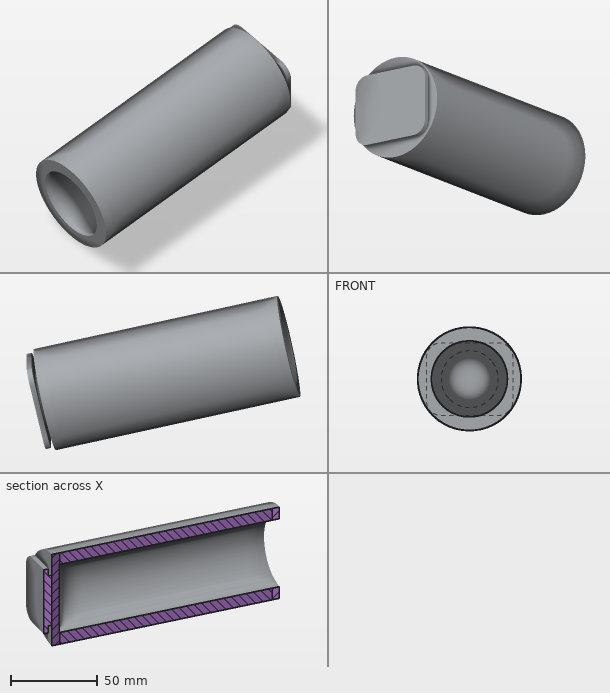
import cadquery as cq

total_length = 150.0
outer_diameter = 60.0
bore_diameter = 44.1

cap_thickness = 5.0
neck_diameter = 33.0
neck_length = 2.1
plate_width = 50.0
plate_height = 42.0
plate_thickness = 3.0
plate_corner_radius = 8.2

tube_start = cap_thickness
cap_end = total_length - plate_thickness - neck_length
cap_start = cap_end - cap_thickness
tube_length = cap_start - tube_start


def disc(diameter, start, length):
    """Solid cylinder along +Y, beginning at Y = start."""
    plane = cq.Workplane("XZ", origin=(0, start, 0))
    return plane.circle(diameter / 2).extrude(-length)


def sleeve(start, length):
    """Hollow cylinder with the common outer and bore diameters."""
    return disc(outer_diameter, start, length).cut(disc(bore_diameter, start, length))


def make_mount():
    """Round neck carrying a plate with rounded corners."""
    neck = disc(neck_diameter, cap_end, neck_length)
    plate = (
        cq.Workplane("XZ", origin=(0, cap_end + neck_length, 0))
        .rect(plate_width, plate_height)
        .extrude(-plate_thickness)
        .edges("|Y")
        .fillet(plate_corner_radius)
    )
    return neck.union(plate)


front_ring = sleeve(0, cap_thickness)

tube = sleeve(tube_start, tube_length)

end_cap = disc(outer_diameter, cap_start, cap_thickness)

mount = make_mount()

result = cq.Compound.makeCompound([front_ring.val(), tube.val(), end_cap.val(), mount.val()])